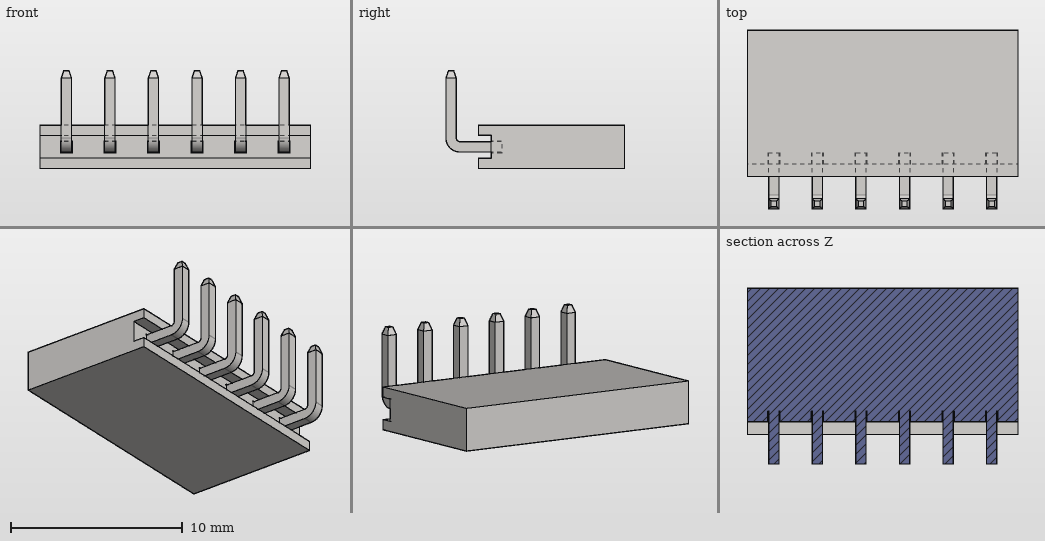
import cadquery as cq

housing_length = 15.75
housing_depth = 8.52
pin_pitch = 2.54
housing_height = pin_pitch
slot_depth = 0.74
slot_height = 1.32

pin_count = 6
pin_width = 0.61
inner_bend_radius = 0.2
outer_bend_radius = inner_bend_radius + pin_width
overall_depth = 10.41
overall_height = 5.7
tip_height = 0.44
tip_width = 0.32

pocket_width = 0.7
pocket_depth = 0.63

slot_floor_y = slot_depth
pin_root_y = slot_floor_y + pocket_depth
pin_front_y = housing_depth - overall_depth
pin_back_y = pin_front_y + pin_width
pin_bottom_z = (housing_height - pin_width) / 2
pin_top_z = pin_bottom_z + pin_width
shoulder_z = overall_height - tip_height


def make_housing():
    """Solid block with a shallow slot along the full length of its front face."""
    block = cq.Workplane("XY").box(
        housing_length, housing_depth, housing_height, centered=(True, False, False)
    )
    slot = (
        cq.Workplane("XY")
        .box(housing_length, slot_depth, slot_height, centered=(True, False, True))
        .translate((0, 0, housing_height / 2))
    )
    return block.cut(slot)


def make_pin():
    """Square pin rooted in the pocket floor, bent upward and ending in a tapered tip."""
    bent_bar = (
        cq.Workplane("YZ")
        .moveTo(pin_root_y, pin_bottom_z)
        .lineTo(pin_front_y + outer_bend_radius, pin_bottom_z)
        .radiusArc((pin_front_y, pin_bottom_z + outer_bend_radius), outer_bend_radius)
        .lineTo(pin_front_y, shoulder_z)
        .lineTo(pin_back_y, shoulder_z)
        .lineTo(pin_back_y, pin_top_z + inner_bend_radius)
        .radiusArc((pin_back_y + inner_bend_radius, pin_top_z), -inner_bend_radius)
        .lineTo(pin_root_y, pin_top_z)
        .close()
        .extrude(pin_width / 2, both=True)
    )
    tip = (
        cq.Workplane("XY", origin=(0, (pin_front_y + pin_back_y) / 2, shoulder_z))
        .rect(pin_width, pin_width)
        .workplane(offset=tip_height)
        .rect(tip_width, tip_width)
        .loft()
    )
    return bent_bar.union(tip)


def make_pocket():
    """Square pocket in the slot floor, slightly wider than the pin it surrounds."""
    return (
        cq.Workplane("XY")
        .box(pocket_width, pocket_depth, pocket_width, centered=(True, False, True))
        .translate((0, slot_floor_y, housing_height / 2))
    )


housing = make_housing()
pocket = make_pocket()
pin = make_pin()
for index in range(pin_count):
    pin_shift = ((index - (pin_count - 1) / 2) * pin_pitch, 0, 0)
    housing = housing.cut(pocket.translate(pin_shift))
    housing = housing.union(pin.translate(pin_shift))

result = housing